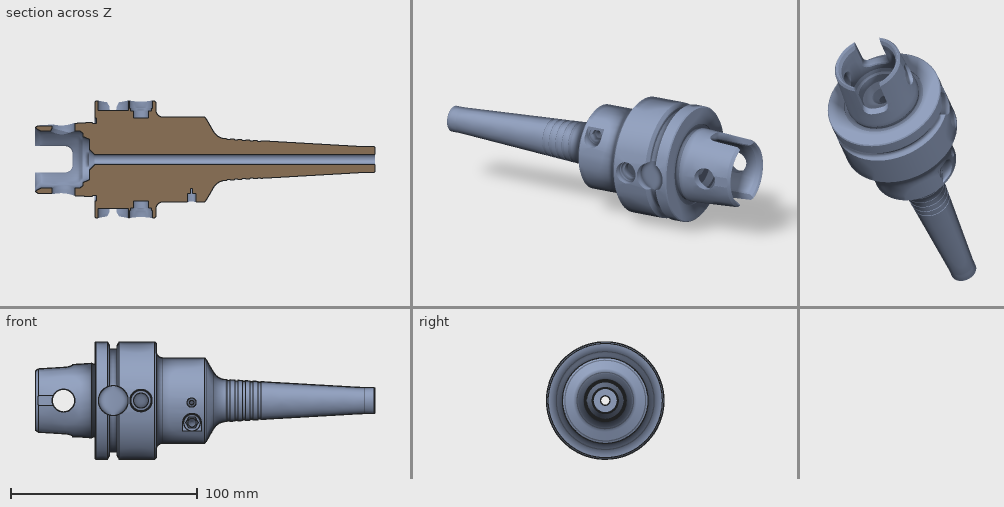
import cadquery as cq
import math


total_length = 182.0
shank_edge = 1.6
relief_start = 30.2
collar_start = 31.8
relief_depth = 0.7
collar_end = 64.8
body_end = 91.7
nose_start = 102.1
nose_tip_start = 176.4

shank_end_radius = 18.4
shank_root_radius = 20.0
shank_edge_drop = 1.1
relief_radius = 19.5
relief_outer_radius = 22.0

collar_radius = 31.5
collar_front_chamfer = 0.5
collar_back_chamfer = 1.0
groove_start = 39.9
groove_end = 43.7
groove_radius = 27.7
groove_flank_length = 1.3
groove_flank_drop = 2.2

body_radius = 23.0
neck_fillet = 3.3
body_edge = 1.1
cone_angle = math.radians(60)
nose_fillet = 7.6
nose_radius = 11.3
tip_radius = 14.0 / 2
tip_chamfer = 0.5

ring_count = 5
ring_first = 103.5
ring_last = 120.0
ring_pitch = (ring_last - ring_first) / (ring_count - 1)
ring_width = 1.6
ring_depth = 0.4

bore_radius = 15.1
bore_mouth_radius = 17.1
bore_mouth_chamfer = 1.0
bore_lead_in_end = 3.1
bore_cone_start = 23.8
bore_shelf = 25.5
bore_shelf_radius = 14.0
pocket_radius = 12.2
pocket_floor = 29.0
pocket_floor_radius = 10.7
channel_radius = 5.0 / 2
channel_mouth_radius = 5.5

slot_width = 14.0
slot_depth = 20.0
slot_corner = 3.8
slot_inner_chamfer = 0.5
ball_hole_x = 15.1
ball_hole_diameter = 12.0
ball_seat_offset = 1.0
ball_seat_start = 17.1
ball_seat_start_radius = 5.0
ball_seat_depth = 4.5
ball_seat_angle = math.radians(30)
keyway_width = 5.3
keyway_floor = 18.2

dimple_x = (groove_start + groove_end) / 2
dimple_diameter = 16.0
dimple_floor = 26.4
side_hole_x = 56.6
side_hole_diameter = 12.0
side_hole_depth = 4.0
side_step_diameter = 11.0
side_step_depth = 5.5
side_core_diameter = 8.0
side_core_depth = 9.1

screw_x = 83.9
screw_offset = 11.8
screw_seat_width = 10.0
screw_seat_floor = 16.0
screw_rim_diameter = 9.0
screw_rim_depth = 0.7
socket_corner_diameter = 6.7
socket_depth = 2.7
drill_diameter = 4.5
vent_x = 83.7
vent_z = -1.1
vent_diameter = 5.0
vent_depth = 4.5
vent_core_diameter = 2.4
vent_core_depth = 7.3


def turned_body():
    """Revolve the outside of the whole adapter."""
    face_fillet_radius = body_radius + neck_fillet
    arc_bend = math.sqrt(0.5)
    fillet_mid = (
        collar_end + neck_fillet * (1 - arc_bend),
        body_radius + neck_fillet * (1 - arc_bend),
    )
    arc_centre_radius = nose_radius + nose_fillet
    cone_end = nose_start - nose_fillet * math.sin(cone_angle)
    cone_end_radius = arc_centre_radius - nose_fillet * math.cos(cone_angle)
    cone_start_radius = cone_end_radius + (cone_end - body_end) * math.tan(cone_angle)
    nose_mid = (
        nose_start - nose_fillet * math.sin(cone_angle / 2),
        arc_centre_radius - nose_fillet * math.cos(cone_angle / 2),
    )
    flank_radius = collar_radius - groove_flank_drop
    profile = (
        cq.Workplane("XY")
        .moveTo(0, 0)
        .lineTo(0, shank_end_radius - shank_edge_drop)
        .lineTo(shank_edge, shank_end_radius)
        .lineTo(relief_start, shank_root_radius)
        .lineTo(relief_start + relief_depth, relief_radius)
        .lineTo(collar_start + relief_depth, relief_radius)
        .lineTo(collar_start + relief_depth, relief_outer_radius)
        .lineTo(collar_start, relief_outer_radius)
        .lineTo(collar_start, collar_radius - collar_front_chamfer)
        .lineTo(collar_start + collar_front_chamfer, collar_radius)
        .lineTo(groove_start - groove_flank_length, collar_radius)
        .lineTo(groove_start, flank_radius)
        .lineTo(groove_start, groove_radius)
        .lineTo(groove_end, groove_radius)
        .lineTo(groove_end, flank_radius)
        .lineTo(groove_end + groove_flank_length, collar_radius)
        .lineTo(collar_end - collar_back_chamfer, collar_radius)
        .lineTo(collar_end, collar_radius - collar_back_chamfer)
        .lineTo(collar_end, face_fillet_radius)
        .threePointArc(fillet_mid, (collar_end + neck_fillet, body_radius))
        .lineTo(body_end - body_edge, body_radius)
        .lineTo(body_end, cone_start_radius)
        .lineTo(cone_end, cone_end_radius)
        .threePointArc(nose_mid, (nose_start, nose_radius))
        .lineTo(nose_tip_start, tip_radius)
        .lineTo(total_length - tip_chamfer, tip_radius)
        .lineTo(total_length, tip_radius - tip_chamfer)
        .lineTo(total_length, 0)
        .close()
    )
    return profile.revolve(360, (0, 0, 0), (1, 0, 0))


def nose_rings():
    """Shallow square grooves that follow the taper of the nose root."""
    taper = (nose_radius - tip_radius) / (nose_tip_start - nose_start)
    rings = cq.Workplane("YZ")
    for index in range(ring_count):
        middle = ring_first + index * ring_pitch
        floor_radius = nose_radius - taper * (middle - nose_start) - ring_depth
        ring = (
            cq.Workplane("YZ", origin=(middle - ring_width / 2, 0, 0))
            .circle(nose_radius + ring_depth)
            .circle(floor_radius)
            .extrude(ring_width)
        )
        rings = rings.add(ring)
    return rings.combine()


def stepped_bore():
    """Hollow of the shank and the channel that runs on through the nose."""
    channel_cone_length = channel_mouth_radius - channel_radius
    profile = (
        cq.Workplane("XY")
        .moveTo(0, 0)
        .lineTo(0, bore_mouth_radius)
        .lineTo(bore_mouth_chamfer, bore_mouth_radius - bore_mouth_chamfer)
        .lineTo(bore_lead_in_end, bore_radius)
        .lineTo(bore_cone_start, bore_radius)
        .lineTo(bore_shelf, bore_shelf_radius)
        .lineTo(bore_shelf, pocket_radius)
        .lineTo(pocket_floor, pocket_floor_radius)
        .lineTo(pocket_floor, channel_mouth_radius)
        .lineTo(pocket_floor + channel_cone_length, channel_radius)
        .lineTo(total_length, channel_radius)
        .lineTo(total_length, 0)
        .close()
    )
    return profile.revolve(360, (0, 0, 0), (1, 0, 0))


def drive_slot():
    """Round-cornered slot that opens the shank through +Z and -Z."""
    return (
        cq.Workplane("XY")
        .box(2 * slot_depth, slot_width, 2 * collar_radius)
        .edges("|Z")
        .fillet(slot_corner)
    )


def bevel_slot_edges(body):
    """Bevel the edges where the drive slots break into the cylindrical bore."""
    margin = 0.2
    for side in (1, -1):
        lowest = side * pocket_radius
        highest = side * (bore_radius + margin)
        region = cq.selectors.BoxSelector(
            (bore_lead_in_end, -slot_width, lowest),
            (slot_depth + margin, slot_width, highest),
        )
        body = body.edges(region).chamfer(slot_inner_chamfer)
    return body


def side_cylinder(x, z, diameter, floor, side):
    """Cylinder along Y from the floor distance outwards, on the +Y (1) or -Y (-1) side."""
    length = collar_radius - floor
    start = cq.Vector(x, side * floor, z)
    return cq.Workplane(cq.Solid.makeCylinder(diameter / 2, length, start, cq.Vector(0, side, 0)))


def ball_hole():
    """Cross hole through both shank walls, eased inside the +Y wall by a cone set towards the shank end."""
    hole = side_cylinder(ball_hole_x, 0, ball_hole_diameter, -collar_radius, 1)
    seat = cq.Solid.makeCone(
        ball_seat_start_radius,
        ball_seat_start_radius + ball_seat_depth * math.tan(ball_seat_angle),
        ball_seat_depth,
        cq.Vector(ball_hole_x - ball_seat_offset, ball_seat_start, 0),
        cq.Vector(0, -1, 0),
    )
    return hole.union(cq.Workplane(seat))


def keyway(side):
    """Shallow flat-bottomed groove from the shank end to the ball hole."""
    height = shank_root_radius - keyway_floor
    length = 2 * ball_hole_x
    return cq.Workplane("XY").box(length, height, keyway_width).translate(
        (0, side * (keyway_floor + height / 2), 0)
    )


def collar_side_cut(side):
    """Round dimple across the gripper groove and the stepped blind hole beside it."""
    dimple = side_cylinder(dimple_x, 0, dimple_diameter, dimple_floor, side)
    hole = side_cylinder(side_hole_x, 0, side_hole_diameter, collar_radius - side_hole_depth, side)
    step = side_cylinder(side_hole_x, 0, side_step_diameter, collar_radius - side_step_depth, side)
    core = side_cylinder(side_hole_x, 0, side_core_diameter, collar_radius - side_core_depth, side)
    return dimple.union(hole).union(step).union(core)


def screw_seat(side):
    """Seat open along Z at the body surface, with a rim recess and hexagon socket in its floor."""
    z = side * screw_offset
    seat = side_cylinder(screw_x, z, screw_seat_width, screw_seat_floor, side)
    height = collar_radius - screw_seat_floor
    outlet = cq.Workplane("XY").box(screw_seat_width, height, body_radius).translate(
        (screw_x, side * (screw_seat_floor + height / 2), z + side * body_radius / 2)
    )
    rim_floor = screw_seat_floor - screw_rim_depth
    rim = side_cylinder(screw_x, z, screw_rim_diameter, rim_floor, side)
    socket = (
        cq.Workplane("XZ", origin=(screw_x, side * rim_floor, z))
        .polygon(6, socket_corner_diameter)
        .extrude(side * socket_depth)
    )
    drill_point = cq.Workplane(
        cq.Solid.makeCone(
            drill_diameter / 2,
            0,
            drill_diameter / 2,
            cq.Vector(screw_x, side * (rim_floor - socket_depth), z),
            cq.Vector(0, -side, 0),
        )
    )
    return seat.union(outlet).union(rim).union(socket).union(drill_point)


def vent():
    """Small stepped blind hole on the -Y side of the body."""
    hole = side_cylinder(vent_x, vent_z, vent_diameter, body_radius - vent_depth, -1)
    core = side_cylinder(vent_x, vent_z, vent_core_diameter, body_radius - vent_core_depth, -1)
    return hole.union(core)


result = turned_body().cut(nose_rings()).cut(stepped_bore()).cut(drive_slot())
result = bevel_slot_edges(result)
result = result.cut(keyway(1)).cut(keyway(-1)).cut(ball_hole())
for side in (1, -1):
    result = result.cut(collar_side_cut(side))
    result = result.cut(screw_seat(side))
result = result.cut(vent())